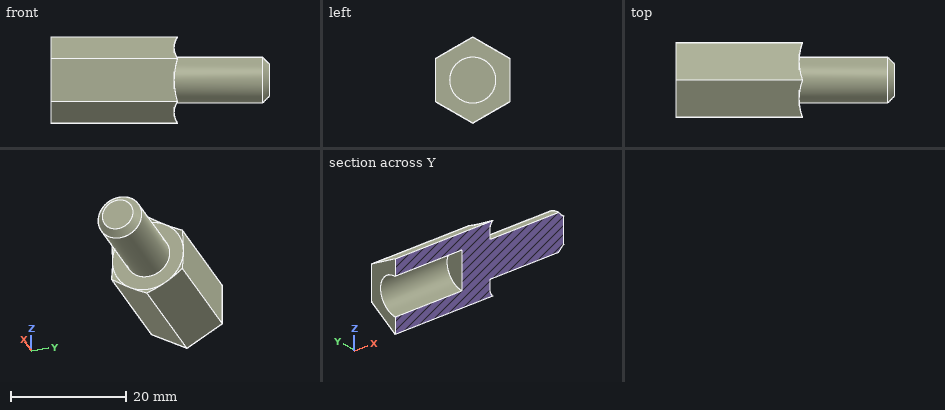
import cadquery as cq
import math

across_flats = 13.0
hex_sides = 6
across_corners = across_flats / math.cos(math.pi / hex_sides)
overall_length = 38.0
stud_length = 16.0
body_length = overall_length - stud_length

nominal_diameter = 8.0
stud_chamfer = 1.2
hole_depth = 15.0

dish_angle = 30.0
dish_radius = across_corners / 2
dish_floor_radius = across_flats / 2
dish_depth = (dish_radius - dish_floor_radius) * math.tan(math.radians(dish_angle))


def make_body():
    corner_to_z = 90
    return (
        cq.Workplane("YZ")
        .transformed(rotate=(0, 0, corner_to_z))
        .polygon(hex_sides, across_corners)
        .extrude(body_length)
    )


def make_dish():
    profile = [
        (body_length, 0),
        (body_length, dish_radius),
        (body_length - dish_depth, dish_floor_radius),
        (body_length - dish_depth, 0),
    ]
    return cq.Workplane("XY").polyline(profile).close().revolve(360, (0, 0, 0), (1, 0, 0))


def make_stud():
    root = body_length - dish_depth
    return (
        cq.Workplane("YZ", origin=(root, 0, 0))
        .circle(nominal_diameter / 2)
        .extrude(overall_length - root)
        .faces(">X")
        .chamfer(stud_chamfer)
    )


def make_hole():
    return cq.Workplane("YZ").circle(nominal_diameter / 2).extrude(hole_depth)


result = make_body().cut(make_dish()).union(make_stud()).cut(make_hole())